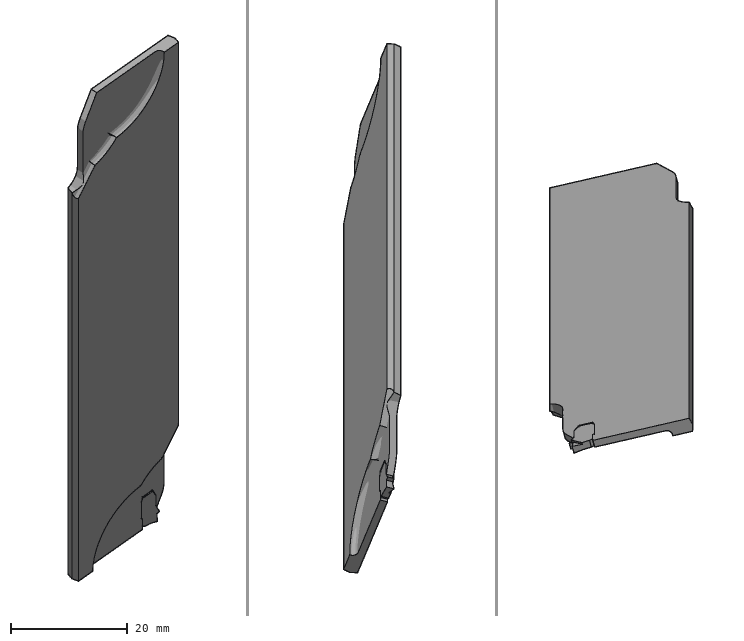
import cadquery as cq
import math

thickness = 2.5
width = 25.3
tip_overhang = 0.5
length = 110.0 - tip_overhang
half_width = width / 2
edge_ridge_height = 0.3
edge_ridge_x = 1.3

shoulder_y = 10.0
chamfer_start_y = 6.6
chamfer_angle = 29.0
chamfer_height = (shoulder_y - chamfer_start_y) / math.tan(math.radians(chamfer_angle))
chamfer_blend_radius = 5.6
notch_start = 16.0
notch_radius = 3.5
notch_width = half_width - shoulder_y
notch_sweep = math.acos(1 - notch_width / notch_radius)

tongue_thickness = 1.3
recess_root_radius = 1.0
recess_wall_y = 8.8
recess_step_y = -3.0
recess_step_depth = 12.1
recess_ramp_y = -8.2
recess_ramp_depth = 15.1
recess_wall_sagitta = 3.4
recess_step_sagitta = 0.4
recess_exit_y = -11.0
recess_exit_depth = 18.5
recess_margin = 5.5

seat_mouth_height = 0.7
seat_clearance = 0.3
insert_back_y = 4.4
insert_heel_y = 4.7
insert_neck_y = 8.0
insert_top = 7.3
face_bevel_depth = 0.3
bevel_width = 1.6
bevel_inner_end = (6.7, 0.2)
bevel_outer_end = (8.5, 2.2)


def half_turn(body):
    """Turn a body end for end about the X axis through the blade centre."""
    centre = (0, 0, length / 2)
    return body.rotate(centre, (1, 0, length / 2), 180)


def make_blank():
    """Stepped outline with V-shaped long edges."""
    chamfer_end = length - chamfer_height
    notch_top = length - notch_start
    notch_bottom = notch_top - notch_radius * math.sin(notch_sweep)
    notch_mid = (
        -shoulder_y - notch_radius * (1 - math.cos(notch_sweep / 2)),
        notch_top - notch_radius * math.sin(notch_sweep / 2),
    )
    corner_cut = (
        cq.Workplane("YZ")
        .moveTo(-chamfer_start_y, length)
        .lineTo(-shoulder_y, chamfer_end)
        .lineTo(-shoulder_y, notch_top)
        .threePointArc(notch_mid, (-half_width, notch_bottom))
        .lineTo(-half_width, length)
        .close()
        .extrude(thickness)
    )
    flat_y = half_width - edge_ridge_height
    blank = (
        cq.Workplane("XY")
        .polyline([
            (0, -flat_y), (edge_ridge_x, -half_width), (thickness, -flat_y),
            (thickness, flat_y), (edge_ridge_x, half_width), (0, flat_y),
        ])
        .close()
        .extrude(length)
        .cut(corner_cut)
        .cut(half_turn(corner_cut))
    )
    selector_gap = 0.1
    for y, z in ((-shoulder_y, chamfer_end), (shoulder_y, chamfer_height)):
        corner = cq.selectors.BoxSelector(
            (-selector_gap, y - selector_gap, z - selector_gap),
            (thickness + selector_gap, y + selector_gap, z + selector_gap),
        )
        blank = blank.edges(corner).fillet(chamfer_blend_radius)
    return blank


def make_recess_stage(start, end, sagitta, outer_z):
    """One stage of the recess cutter: a wall, an arc, then a line to beyond the -Y edge."""
    outer_y = -half_width - recess_margin
    outline = (
        cq.Workplane("YZ", origin=(tongue_thickness, 0, 0))
        .moveTo(start[0], length + recess_margin)
        .lineTo(*start)
        .sagittaArc(end, sagitta)
        .lineTo(outer_y, outer_z)
        .lineTo(outer_y, length + recess_margin)
        .close()
    )
    return outline.extrude(thickness).faces("<X").edges().fillet(recess_root_radius)


def make_recess_stages():
    """Cutters that thin the upper end from the +X face, stepping down towards -Y."""
    top = (recess_wall_y, length)
    step = (recess_step_y, length - recess_step_depth)
    ramp = (recess_ramp_y, length - recess_ramp_depth)
    ramp_slope = (recess_exit_depth - recess_ramp_depth) / (recess_ramp_y - recess_exit_y)
    ramp_outer_z = ramp[1] - ramp_slope * (recess_ramp_y + half_width + recess_margin)
    upper_stage = make_recess_stage(top, step, recess_wall_sagitta, step[1])
    lower_stage = make_recess_stage(step, ramp, recess_step_sagitta, ramp_outer_z)
    return upper_stage, lower_stage


def make_insert_form(top):
    """Insert outline, as thick as the tongue, with its upper end at the given height."""
    return (
        cq.Workplane("YZ")
        .polyline([
            (7.2, top), (4.7, top), (insert_back_y, 6.6),
            (insert_back_y, 2.6), (insert_heel_y, 2.4), (insert_heel_y, seat_mouth_height),
            (5.3, 0.3), (6.6, 0.1), (8.4, -tip_overhang), (8.2, 1.3),
            (8.9, 1.4), (8.4, 2.5), (insert_neck_y, 3.3), (insert_neck_y, 5.7),
        ])
        .close()
        .extrude(tongue_thickness)
    )


def make_insert():
    """Insert with a bevel across the cutting corner of its X = 0 face."""
    root_y, root_z = bevel_inner_end
    run_y = bevel_outer_end[0] - root_y
    run_z = bevel_outer_end[1] - root_z
    bevel_plane = cq.Plane(
        origin=(0, root_y - run_y, root_z - run_z),
        xDir=(0, run_z, -run_y),
        normal=(0, run_y, run_z),
    )
    root_length = math.hypot(run_y, run_z)
    wedge = (
        cq.Workplane(bevel_plane)
        .polyline([(0, 0), (bevel_width, 0), (0, -face_bevel_depth)])
        .close()
        .extrude(3 * root_length)
    )
    return make_insert_form(insert_top).cut(wedge)


def make_blade():
    """Blank with both ends thinned and a seat for the insert, open below it."""
    blank = make_blank()
    for stage in make_recess_stages():
        blank = blank.cut(stage).cut(half_turn(stage))
    seat = make_insert_form(insert_top + seat_clearance)
    seat_mouth = (
        cq.Workplane("XY", origin=(0, insert_heel_y, 0))
        .box(tongue_thickness, half_width - insert_heel_y, seat_mouth_height, centered=False)
    )
    return blank.cut(seat).cut(seat_mouth)


blade = make_blade()
insert = make_insert()
result = cq.Compound.makeCompound([blade.val(), insert.val()])